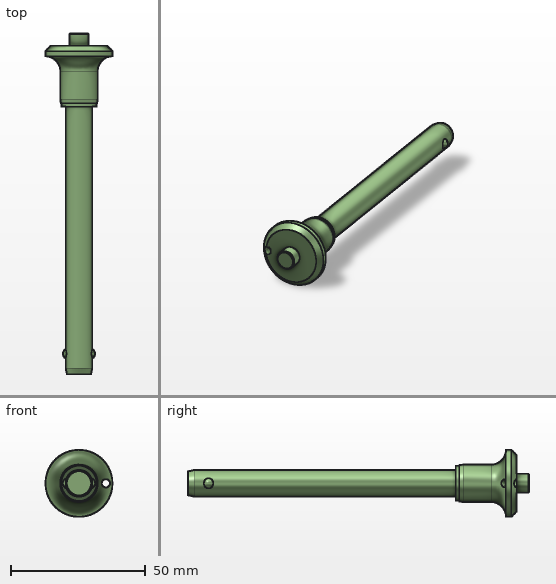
import cadquery as cq


overall_length = 126.9

button_height = 4.65
knob_bevel = 2.0
knob_rim_length = 2.0
sleeve_length = 11.9
sleeve_taper_length = 1.5
collar_length = 1.25

knob_diameter = 25.0
button_diameter = 7.2
sleeve_diameter = 14.0
sleeve_front_diameter = 13.6
collar_diameter = 13.1
shank_diameter = 10.0

button_edge_chamfer = 0.4
tip_length = 2.4
tip_diameter = 9.0

ball_diameter = 4.0
ball_span = 12.0
ball_to_tip = 7.7

lanyard_hole_diameter = 3.0
lanyard_hole_offset = 10.0

flare_radius = (knob_diameter - sleeve_diameter) / 2

sleeve_front = collar_length
sleeve_back = sleeve_front + sleeve_length
rim_front = sleeve_back + flare_radius
rim_back = rim_front + knob_rim_length
knob_back = rim_back + knob_bevel
button_end = knob_back + button_height
tip_end = button_end - overall_length


def turned_body():
    """Button, knob, sleeve, collar and shank revolved as one profile about Y."""
    button_radius = button_diameter / 2
    knob_radius = knob_diameter / 2
    sleeve_radius = sleeve_diameter / 2
    collar_radius = collar_diameter / 2
    shank_radius = shank_diameter / 2
    profile = (
        cq.Workplane("XY")
        .moveTo(0, tip_end)
        .lineTo(tip_diameter / 2, tip_end)
        .lineTo(shank_radius, tip_end + tip_length)
        .lineTo(shank_radius, 0)
        .lineTo(collar_radius, 0)
        .lineTo(collar_radius, sleeve_front)
        .lineTo(sleeve_front_diameter / 2, sleeve_front)
        .lineTo(sleeve_radius, sleeve_front + sleeve_taper_length)
        .lineTo(sleeve_radius, sleeve_back)
        .tangentArcPoint((knob_radius, rim_front), relative=False)
        .lineTo(knob_radius, rim_back)
        .lineTo(knob_radius - knob_bevel, knob_back)
        .lineTo(button_radius, knob_back)
        .lineTo(button_radius, button_end - button_edge_chamfer)
        .lineTo(button_radius - button_edge_chamfer, button_end)
        .lineTo(0, button_end)
        .close()
    )
    return profile.revolve(360, (0, 0), (0, 1))


def locking_ball(side):
    """Ball mostly sunk in the shank on the given side, +1 or -1 along X."""
    center_x = side * (ball_span - ball_diameter) / 2
    center_y = tip_end + ball_to_tip
    return cq.Workplane("XY").sphere(ball_diameter / 2).translate((center_x, center_y, 0))


def lanyard_hole():
    """Cutter for the hole through the knob, parallel to the axis."""
    return (
        cq.Workplane("XZ", origin=(lanyard_hole_offset, knob_back, 0))
        .circle(lanyard_hole_diameter / 2)
        .extrude(knob_back - sleeve_back)
    )


result = turned_body().cut(lanyard_hole())
for side in (-1, 1):
    result = result.union(locking_ball(side))